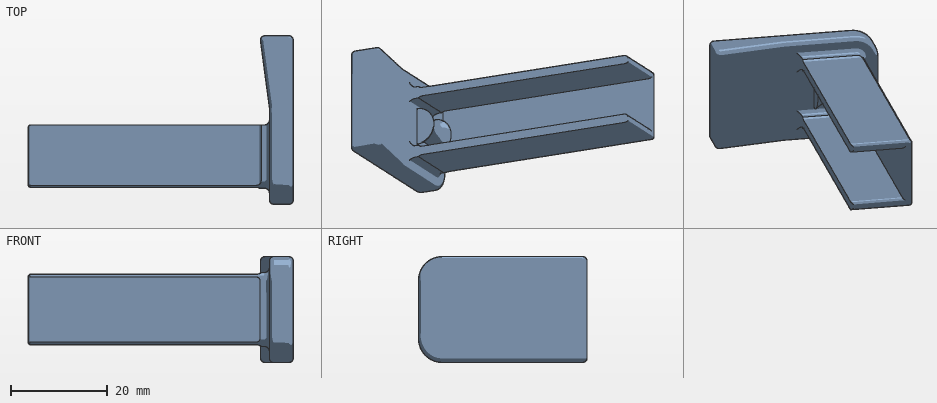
import cadquery as cq

PLATE_THICKNESS = 5.0
PLATE_LENGTH = 35.0
PLATE_HEIGHT = 22.0
PLATE_CORNER_RADIUS = 5.0
PLATE_EDGE_RADIUS = 1.0
WEDGE_LENGTH = 15.0
WEDGE_RISE = 2.0

ARM_LENGTH = 50.0
ARM_Y_MIN = 3.5
ARM_WIDTH = 13.0
ARM_HEIGHT = 44 / 3
LEG_THICKNESS = 11 / 6
WEB_THICKNESS = 2.0
ARM_EDGE_RADIUS = 0.65
TIP_RADIUS = 0.6

ROOT_LENGTH = 1.0
ROOT_OFFSET = 1 / 3
ROOT_WEB_OFFSET = 1 / 6
ROOT_CORNER_RADIUS = 5 / 3
FLARE_RADIUS = 5 / 3
ROOT_FILLET = 1.0

BAR_END_RADIUS = 3.9
BAR_WAIST_RADIUS = 2.45
BAR_Y_MAX = 13.75
BAR_LENGTH = 8.0

ARM_Y_MAX = ARM_Y_MIN + ARM_WIDTH
TOLERANCE = 0.01


def box(x_range, y_range, z_half):
    """Box between the given X and Y limits, centred on Z = 0."""
    x_min, x_max = x_range
    y_min, y_max = y_range
    return (
        cq.Workplane("XY", origin=(0, 0, -z_half))
        .moveTo(x_min, y_min)
        .lineTo(x_max, y_min)
        .lineTo(x_max, y_max)
        .lineTo(x_min, y_max)
        .close()
        .extrude(2 * z_half)
    )


def channel(x_min, x_max, offset, web_offset, corner_radius):
    """Channel with its walls grown by the offsets and its outer corners rounded."""
    y_min = ARM_Y_MIN - web_offset
    outer = box((x_min, x_max), (y_min, ARM_Y_MAX), ARM_HEIGHT / 2 + offset)
    outer = outer.edges("|X and <Y").fillet(corner_radius)
    inner_y_min = ARM_Y_MIN + WEB_THICKNESS + web_offset
    inner_half_height = ARM_HEIGHT / 2 - LEG_THICKNESS - offset
    return outer.cut(box((x_min, x_max), (inner_y_min, ARM_Y_MAX), inner_half_height))


def make_plate():
    """Plate that thickens into a wedge towards +Y, with its edges rounded."""
    plate = (
        cq.Workplane("XY", origin=(0, 0, -PLATE_HEIGHT / 2))
        .moveTo(0, 0)
        .lineTo(PLATE_THICKNESS, 0)
        .lineTo(PLATE_THICKNESS, PLATE_LENGTH)
        .lineTo(-WEDGE_RISE, PLATE_LENGTH)
        .lineTo(0, PLATE_LENGTH - WEDGE_LENGTH)
        .close()
        .extrude(PLATE_HEIGHT)
    )
    plate = plate.edges("|X and <Y").fillet(PLATE_CORNER_RADIUS)
    rounded = plate.edges().filter(
        lambda edge: edge.Center().y > PLATE_LENGTH - TOLERANCE
        or not edge.geomType() == "LINE"
        or abs(edge.tangentAt(0).x) < 0.9
    )
    return rounded.fillet(PLATE_EDGE_RADIUS)


def make_arm():
    """Arm with rounded tip edges, flaring out to the root section."""
    arm = channel(-ARM_LENGTH, 0, 0, 0, ARM_EDGE_RADIUS)
    arm = arm.faces("<X").edges().fillet(TIP_RADIUS)

    backing = box((-ROOT_LENGTH, 0), (0, PLATE_LENGTH), PLATE_HEIGHT / 2)
    flared = arm.union(backing)
    on_backing = cq.selectors.BoxSelector(
        (-ROOT_LENGTH - TOLERANCE, TOLERANCE, -PLATE_HEIGHT / 2 + TOLERANCE),
        (-ROOT_LENGTH + TOLERANCE, PLATE_LENGTH - TOLERANCE, PLATE_HEIGHT / 2 - TOLERANCE),
    )
    flared = flared.edges(on_backing).fillet(FLARE_RADIUS)
    envelope = channel(-ARM_LENGTH, 0, ROOT_OFFSET, ROOT_WEB_OFFSET, ROOT_CORNER_RADIUS)
    return flared.intersect(envelope)


def make_bar():
    """Round bar along Y whose side is a concave arc."""
    y_min = BAR_Y_MAX - BAR_LENGTH
    return (
        cq.Workplane("XY")
        .moveTo(0, y_min)
        .lineTo(BAR_END_RADIUS, y_min)
        .threePointArc(
            (BAR_WAIST_RADIUS, y_min + BAR_LENGTH / 2),
            (BAR_END_RADIUS, BAR_Y_MAX),
        )
        .lineTo(0, BAR_Y_MAX)
        .close()
        .revolve(360, (0, 0, 0), (0, 1, 0))
    )


def make_part():
    """Plate, arm and bar joined, with a fillet where the arm root meets the plate."""
    body = make_plate().union(make_arm())
    root_edges = cq.selectors.BoxSelector(
        (-TOLERANCE, ROOT_FILLET, -PLATE_HEIGHT / 2 + 2 * ROOT_FILLET),
        (TOLERANCE, ARM_Y_MAX + ROOT_FILLET, PLATE_HEIGHT / 2 - 2 * ROOT_FILLET),
    )
    body = body.edges(root_edges).fillet(ROOT_FILLET)
    return body.union(make_bar())


result = make_part()